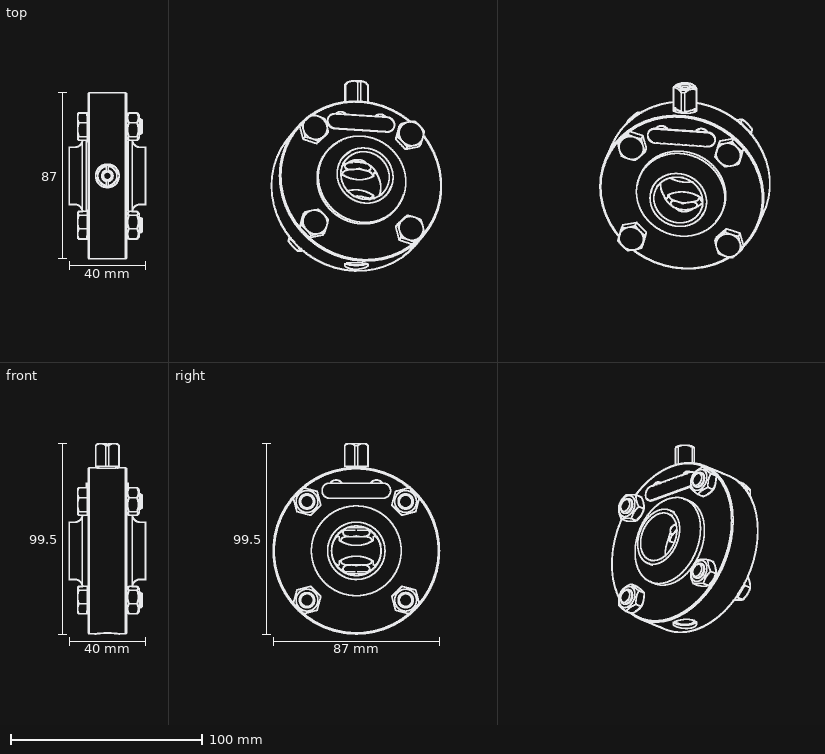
import cadquery as cq
import math

BODY_DIA = 87.0
BODY_HALF_WIDTH = 10.0
BODY_CHAMFER = 0.6
HUB_DIA = 47.0
HUB_HEIGHT = 3.0
PIPE_DIA = 30.0
BORE_DIA = 26.0
PIPE_HALF_LENGTH = 20.0
NECK_FILLET = 4.0

PLATE_LENGTH = 35.8
PLATE_WIDTH = 8.0
PLATE_THICKNESS = 0.9
PLATE_Z = 31.4
PLATE_HOLE_DIA = 7.2
PLATE_HOLE_DEPTH = 0.5
PLATE_HOLE_Y = 10.5
PLATE_HOLE_Z = 33.4

BOLT_OFFSET = 25.8
HEX_FLATS = 12.9
HEX_CORNERS = HEX_FLATS / math.cos(math.radians(30))
HEX_TURN = 15
HEAD_HEIGHT = 5.0
HEAD_CHAMFER = 0.6
WASHER_DIA = 11.4
WASHER_HEIGHT = 0.5
NUT_HEIGHT = 6.7
NUT_FACE_DIA = 11.4
NUT_CHAMFER = 1.3
TIP_DIA = 8.0
TIP_END_DIA = 6.7
TIP_LENGTH = 1.5
TIP_CHAMFER = 1.0

TOTAL_HEIGHT = 99.5
STEM_DIA = 10.0
STEM_RECESS_DIA = 12.2
STEM_RECESS_DEPTH = 2.0
STEM_TOP = TOTAL_HEIGHT - BODY_DIA / 2
STEM_BOTTOM = STEM_RECESS_DEPTH - BODY_DIA / 2
SQUARE_FLATS = 9.8
SQUARE_CORNERS = STEM_RECESS_DIA
SQUARE_HEIGHT = 11.9
SQUARE_CHAMFER = 1.0
SLOT_WIDTH = 1.0
SLOT_DEPTH = 0.4
DRILL_DIA = 4.2
DRILL_DEPTH = 9.95
DRILL_TIP_ANGLE = 118
COUNTERSINK_DIA = 5.9

DISC_RADIUS = BORE_DIA / 2
DISC_BLANK_RADIUS = DISC_RADIUS + 1
DISC_FLAT_DIA = 4.2
DISC_HALF_THICKNESS = 2.6
DISC_FACE_RADIUS = 11.2
DISC_EDGE_HALF_THICKNESS = 2.2
DISC_EDGE_ROUNDING = 1.7
BOSS_RADIUS = 7.7
BOSS_INNER_Z = 7.4
BOSS_RIM_ROUNDING = 2.1
COVE_AXIS_Z = 18.8
COVE_FOOT_Z = 2.8
COVE_REACH_X = 6.8
COVE_REACH_Y = 13.1


def x_cylinder(diameter, x_start, length):
    """Cylinder about the X axis that starts at x_start."""
    plane = cq.Workplane("YZ", origin=(x_start, 0, 0))
    return plane.circle(diameter / 2).extrude(length)


def x_revolve(profile):
    """Turn an (x, radius) profile drawn on XY about the X axis."""
    return profile.close().revolve(360, (0, 0, 0), (1, 0, 0))


def z_revolve(profile):
    """Turn a (radius, z) profile drawn on XZ about the Z axis."""
    return profile.close().revolve(360, (0, 0, 0), (0, 1, 0))


def make_flange_body():
    body = x_cylinder(BODY_DIA, -BODY_HALF_WIDTH, 2 * BODY_HALF_WIDTH)
    return body.edges().chamfer(BODY_CHAMFER)


def make_pipe_end(side):
    """Hub and pipe end, joined by a quarter-round neck; side is -1 or 1."""
    pipe_radius = PIPE_DIA / 2
    hub_face = BODY_HALF_WIDTH + HUB_HEIGHT
    neck_end = hub_face + NECK_FILLET
    bulge = NECK_FILLET * (1 - math.sqrt(0.5))
    profile = (
        cq.Workplane("XY")
        .lineTo(0, HUB_DIA / 2)
        .lineTo(side * hub_face, HUB_DIA / 2)
        .lineTo(side * hub_face, pipe_radius + NECK_FILLET)
        .threePointArc((side * (hub_face + bulge), pipe_radius + bulge), (side * neck_end, pipe_radius))
        .lineTo(side * PIPE_HALF_LENGTH, pipe_radius)
        .lineTo(side * PIPE_HALF_LENGTH, 0)
    )
    return x_revolve(profile)


def make_plate(side):
    plane = cq.Workplane("YZ", origin=(side * BODY_HALF_WIDTH, 0, PLATE_Z))
    return plane.slot2D(PLATE_LENGTH, PLATE_WIDTH).extrude(side * PLATE_THICKNESS)


def make_plate_holes(side):
    plane = cq.Workplane("YZ", origin=(side * BODY_HALF_WIDTH, 0, PLATE_HOLE_Z))
    points = [(-PLATE_HOLE_Y, 0), (PLATE_HOLE_Y, 0)]
    return plane.pushPoints(points).circle(PLATE_HOLE_DIA / 2).extrude(-side * PLATE_HOLE_DEPTH)


def make_hexagon(length, turned_points):
    """Hexagonal prism from the origin along +X, turned down to the (x, radius) points."""
    prism = cq.Workplane("YZ").polygon(6, HEX_CORNERS).extrude(length)
    turned = x_revolve(cq.Workplane("XY").polyline([(0, 0), *turned_points, (length, 0)]))
    return prism.intersect(turned)


def make_bolt(y, z):
    """Bolt head on the -X face, nut and thread tip on the +X face."""
    turn = HEX_TURN if y * z > 0 else -HEX_TURN
    washer_face = -BODY_HALF_WIDTH - WASHER_HEIGHT
    washer = x_cylinder(WASHER_DIA, washer_face, WASHER_HEIGHT)
    head_points = [
        (0, HEX_FLATS / 2),
        (HEAD_CHAMFER, HEX_CORNERS / 2),
        (HEAD_HEIGHT, HEX_CORNERS / 2),
    ]
    head = make_hexagon(HEAD_HEIGHT, head_points)
    head = head.translate((washer_face - HEAD_HEIGHT, 0, 0))
    nut_points = [
        (0, NUT_FACE_DIA / 2),
        (NUT_CHAMFER, HEX_CORNERS / 2),
        (NUT_HEIGHT - NUT_CHAMFER, HEX_CORNERS / 2),
        (NUT_HEIGHT, NUT_FACE_DIA / 2),
    ]
    nut = make_hexagon(NUT_HEIGHT, nut_points)
    nut = nut.translate((BODY_HALF_WIDTH, 0, 0))
    tip = x_revolve(
        cq.Workplane("XY")
        .lineTo(0, TIP_DIA / 2)
        .lineTo(TIP_LENGTH - TIP_CHAMFER, TIP_DIA / 2)
        .lineTo(TIP_LENGTH, TIP_END_DIA / 2)
        .lineTo(TIP_LENGTH, 0)
    ).translate((BODY_HALF_WIDTH + NUT_HEIGHT, 0, 0))
    shank = x_cylinder(TIP_DIA, washer_face, BODY_HALF_WIDTH - washer_face + NUT_HEIGHT)
    bolt = shank.union(washer).union(head).union(nut).union(tip)
    return bolt.rotate((0, 0, 0), (1, 0, 0), turn).translate((0, y, z))


def make_stem_bore():
    """Bore along Z with a wider recess at both ends."""
    radius = BODY_DIA / 2
    bore = cq.Workplane("XY", origin=(0, 0, -radius)).circle(STEM_DIA / 2).extrude(BODY_DIA)
    for recess_bottom in (-radius, radius - STEM_RECESS_DEPTH):
        plane = cq.Workplane("XY", origin=(0, 0, recess_bottom))
        bore = bore.union(plane.circle(STEM_RECESS_DIA / 2).extrude(STEM_RECESS_DEPTH))
    return bore


def make_housing():
    housing = make_flange_body()
    for side in (-1, 1):
        housing = housing.union(make_pipe_end(side))
        housing = housing.cut(make_plate_holes(side)).union(make_plate(side))
    for y in (-BOLT_OFFSET, BOLT_OFFSET):
        for z in (-BOLT_OFFSET, BOLT_OFFSET):
            housing = housing.union(make_bolt(y, z))
    housing = housing.cut(x_cylinder(BORE_DIA, -PIPE_HALF_LENGTH, 2 * PIPE_HALF_LENGTH))
    return housing.cut(make_stem_bore())


def make_stem():
    """Round stem with a square drive that has turned corners, a slot and a drilled hole."""
    square_bottom = STEM_TOP - SQUARE_HEIGHT
    drive = (
        cq.Workplane("XY", origin=(0, 0, square_bottom))
        .transformed(rotate=(0, 0, 45))
        .rect(SQUARE_FLATS, SQUARE_FLATS)
        .extrude(SQUARE_HEIGHT)
    )
    turned = cq.Workplane("XY", origin=(0, 0, square_bottom)).circle(SQUARE_CORNERS / 2)
    turned = turned.extrude(SQUARE_HEIGHT).faces(">Z").chamfer(
        SQUARE_CHAMFER, (SQUARE_CORNERS - STEM_DIA) / 2)
    drive = drive.intersect(turned)

    slot = cq.Workplane("XY").box(SLOT_WIDTH, SQUARE_CORNERS, 2 * SLOT_DEPTH)
    drill_radius = DRILL_DIA / 2
    sink_radius = COUNTERSINK_DIA / 2
    drill_tip = drill_radius / math.tan(math.radians(DRILL_TIP_ANGLE / 2))
    drill = z_revolve(
        cq.Workplane("XZ")
        .lineTo(sink_radius, 0)
        .lineTo(drill_radius, drill_radius - sink_radius)
        .lineTo(drill_radius, -DRILL_DEPTH)
        .lineTo(0, -DRILL_DEPTH - drill_tip)
    )
    drive = drive.cut(slot.union(drill).translate((0, 0, STEM_TOP)))

    shaft = cq.Workplane("XY", origin=(0, 0, STEM_BOTTOM))
    shaft = shaft.circle(STEM_DIA / 2).extrude(square_bottom - STEM_BOTTOM)
    gap = cq.Workplane("XY").box(BORE_DIA, BORE_DIA, 2 * (BOSS_INNER_Z + BOSS_RIM_ROUNDING))
    return shaft.cut(gap).union(drive)


def make_disc_plate():
    """Lens with a small flat centre, conical faces and a rounded edge."""
    slope = (DISC_HALF_THICKNESS - DISC_EDGE_HALF_THICKNESS) / (DISC_FACE_RADIUS - DISC_FLAT_DIA / 2)
    tilt = math.atan(slope)
    centre_x = DISC_EDGE_HALF_THICKNESS - DISC_EDGE_ROUNDING * math.cos(tilt)
    centre_r = DISC_FACE_RADIUS - DISC_EDGE_ROUNDING * math.sin(tilt)
    mid_angle = (math.pi / 2 + tilt) / 2
    rounding_mid = (
        centre_x + DISC_EDGE_ROUNDING * math.cos(mid_angle),
        centre_r + DISC_EDGE_ROUNDING * math.sin(mid_angle),
    )
    rounding_end = (centre_x, centre_r + DISC_EDGE_ROUNDING)
    half = x_revolve(
        cq.Workplane("XY")
        .lineTo(DISC_HALF_THICKNESS, 0)
        .lineTo(DISC_HALF_THICKNESS, DISC_FLAT_DIA / 2)
        .lineTo(DISC_EDGE_HALF_THICKNESS, DISC_FACE_RADIUS)
        .threePointArc(rounding_mid, rounding_end)
        .lineTo(centre_x, DISC_BLANK_RADIUS)
        .lineTo(0, DISC_BLANK_RADIUS)
    )
    return half.union(half.mirror("YZ"))


def make_boss():
    """Upper boss about the stem with a full round rim; its outer end is left long."""
    shoulder_z = BOSS_INNER_Z + BOSS_RIM_ROUNDING
    ring_radius = BOSS_RADIUS - BOSS_RIM_ROUNDING
    diagonal = BOSS_RIM_ROUNDING * math.sqrt(0.5)
    return z_revolve(
        cq.Workplane("XZ")
        .moveTo(0, DISC_BLANK_RADIUS)
        .lineTo(ring_radius + diagonal, DISC_BLANK_RADIUS)
        .lineTo(ring_radius + diagonal, shoulder_z + diagonal)
        .threePointArc((BOSS_RADIUS, shoulder_z), (ring_radius, BOSS_INNER_Z))
        .lineTo(0, BOSS_INNER_Z)
    )


def make_boss_cove():
    """Concave transition from the disc faces to the upper boss, swept about an axis parallel to X."""
    foot_radius = COVE_AXIS_Z - COVE_FOOT_Z
    top_radius = COVE_AXIS_Z - BOSS_INNER_Z
    cove_radius = foot_radius - top_radius
    cove_end = DISC_HALF_THICKNESS + cove_radius
    inset = cove_radius * (1 - math.sqrt(0.5))
    half = x_revolve(
        cq.Workplane("XY")
        .lineTo(0, foot_radius)
        .lineTo(DISC_HALF_THICKNESS, foot_radius)
        .threePointArc((DISC_HALF_THICKNESS + inset, top_radius + inset), (cove_end, top_radius))
        .lineTo(cove_end, 0)
    ).translate((0, 0, COVE_AXIS_Z))
    cove = half.union(half.mirror("YZ"))
    outline = [(COVE_REACH_X, 0), (0, COVE_REACH_Y), (-COVE_REACH_X, 0), (0, -COVE_REACH_Y)]
    wedge = cq.Workplane("XY").polyline(outline).close().extrude(DISC_BLANK_RADIUS)
    return cove.intersect(wedge)


def make_disc():
    """Disc with two bosses inside a sphere that fits the bore, in one piece with the stem."""
    upper_boss = make_boss().union(make_boss_cove())
    disc = make_disc_plate().union(upper_boss).union(upper_boss.mirror("XY"))
    disc = disc.intersect(cq.Workplane("XY").sphere(DISC_RADIUS))
    return disc.union(make_stem())


housing = make_housing()
disc = make_disc()

result = cq.Compound.makeCompound([housing.val(), disc.val()])